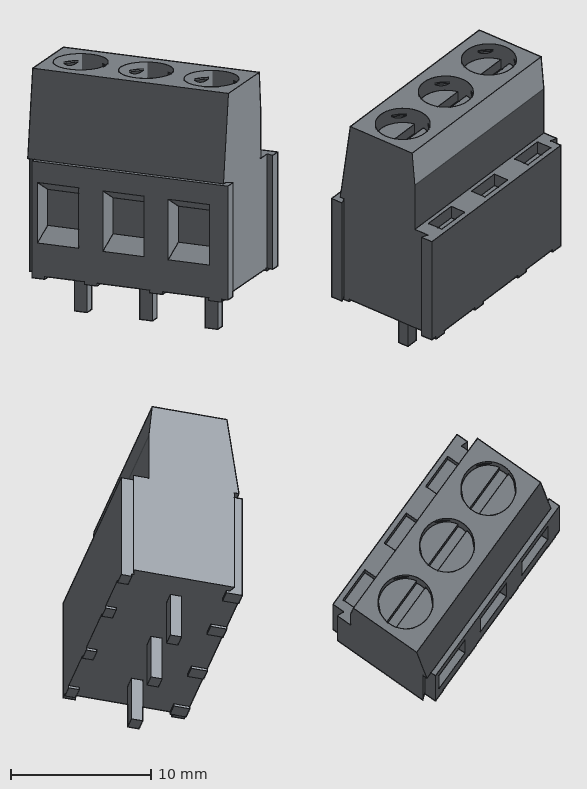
import cadquery as cq
import math


pole_count = 3
pitch = 5.09
body_length = 15.24
body_depth = 9.0
shoulder_height = 8.53
body_height = 15.03
first_pole_x = body_length / 2 - (pole_count - 1) / 2 * pitch
pole_positions = [first_pole_x + i * pitch for i in range(pole_count)]

upper_front_y = 0.4
top_front_y = 1.29
top_back_y = 6.85
upper_back_y = 7.09
back_slope_height = 2.67

hook_length = 0.5
hook_root_depth = 0.75
hook_tip_depth = 0.94

entry_width = 3.2
entry_height = 4.53
entry_bottom_z = 2.45
entry_depth = 1.37
entry_side_taper = 0.2
entry_top_taper = 0.88
entry_bottom_taper = 0.95

bore_radius = 1.96
bore_depth = 1.23
bore_y = 4.08
slot_width = 0.79
slot_depth = 0.8

nub_count = 4
nub_projection = 0.07
nub_top_drop = 0.5
nub_lip_height = 0.11
nub_undercut_height = 0.22

pocket_length = 2.7
pocket_width = 1.2
pocket_back_wall = 0.4
pocket_depth = 1.0

foot_length = 1.0
foot_height = 0.2
front_foot_depth = 1.2
back_foot_depth = 0.79
pin_length_x = 1.0
pin_depth_y = 0.85
pin_drop = 3.67
pin_y = body_depth / 2


def box(x, y, z, length, depth, height):
    """Box with its lowest corner at (x, y, z)."""
    return cq.Workplane("XY").box(length, depth, height, centered=False).translate((x, y, z))


def make_housing():
    """Side profile extruded along the row of poles."""
    profile = [
        (0, 0),
        (body_depth, 0),
        (body_depth, shoulder_height),
        (upper_back_y, shoulder_height),
        (upper_back_y, body_height - back_slope_height),
        (top_back_y, body_height),
        (top_front_y, body_height),
        (upper_front_y, shoulder_height),
        (0, shoulder_height),
    ]
    return cq.Workplane("YZ").polyline(profile).close().extrude(body_length)


def make_hooks(start_x):
    """Front and back dovetail prisms as high as the shoulder, widening towards +X."""
    end_x = start_x + hook_length
    front_outline = [
        (start_x, 0),
        (end_x, 0),
        (end_x, hook_tip_depth),
        (start_x, hook_root_depth),
    ]
    back_outline = [(x, body_depth - y) for x, y in front_outline]
    front = cq.Workplane("XY").polyline(front_outline).close().extrude(shoulder_height)
    back = cq.Workplane("XY").polyline(back_outline).close().extrude(shoulder_height)
    return front.union(back)


def make_wire_entry(x):
    """Funnel narrowing from the front face to a flat back wall."""
    inner_width = entry_width - 2 * entry_side_taper
    inner_height = entry_height - entry_top_taper - entry_bottom_taper
    outer_z = entry_bottom_z + entry_height / 2
    inner_z = entry_bottom_z + entry_bottom_taper + inner_height / 2
    return (
        cq.Workplane("XZ", origin=(x, 0, outer_z))
        .rect(entry_width, entry_height)
        .workplane(offset=-entry_depth)
        .center(0, inner_z - outer_z)
        .rect(inner_width, inner_height)
        .loft(ruled=True)
    )


def make_screw_bore(x):
    """Bore above the screw head, the driver slot, less the retaining nubs."""
    floor_z = body_height - bore_depth
    bore = cq.Workplane("XY", origin=(x, bore_y, floor_z)).circle(bore_radius).extrude(bore_depth)
    slot = (
        cq.Workplane("XY", origin=(x, bore_y, floor_z - slot_depth))
        .circle(bore_radius)
        .extrude(slot_depth)
        .intersect(box(x - bore_radius, bore_y - slot_width / 2, floor_z - slot_depth,
                       2 * bore_radius, slot_width, slot_depth))
    )
    for i in range(nub_count):
        angle = 360 / nub_count * (i + 0.5)
        bore = bore.cut(make_nub().rotate((0, 0, 0), (0, 0, 1), angle).translate((x, bore_y, 0)))
    return bore.union(slot)


def make_nub():
    """Nub with a flat top, a short upright lip and an undercut face, on the +X side of the Z axis.

    The undercut meets the bore wall midway, so the block runs on past the wall.
    """
    top_z = body_height - nub_top_drop
    inner_radius = bore_radius - nub_projection
    outer_radius = bore_radius + nub_projection
    half_chord = math.sqrt(bore_radius**2 - inner_radius**2)
    lip_z = top_z - nub_lip_height
    profile = [
        (inner_radius, top_z),
        (outer_radius, top_z),
        (outer_radius, lip_z - 2 * nub_undercut_height),
        (inner_radius, lip_z),
    ]
    return cq.Workplane("XZ").polyline(profile).close().extrude(half_chord, both=True)


def make_pocket(x):
    """Rectangular pocket sunk into the rear shoulder."""
    back_y = body_depth - pocket_back_wall
    return box(x - pocket_length / 2, back_y - pocket_width, shoulder_height - pocket_depth,
               pocket_length, pocket_width, pocket_depth)


def make_feet():
    """Standoff feet at both ends and midway between poles, along front and back edges."""
    starts = [hook_length]
    for x in pole_positions[:-1]:
        starts.append(x + pitch / 2 - foot_length / 2)
    starts.append(body_length - foot_length)
    feet = cq.Workplane("XY")
    for x in starts:
        feet = feet.union(box(x, 0, -foot_height, foot_length, front_foot_depth, foot_height))
        feet = feet.union(box(x, body_depth - back_foot_depth, -foot_height,
                              foot_length, back_foot_depth, foot_height))
    return feet


def make_pin(x):
    """Solder pin below the housing."""
    return box(x - pin_length_x / 2, pin_y - pin_depth_y / 2, -pin_drop,
               pin_length_x, pin_depth_y, pin_drop)


result = make_housing()
result = result.cut(make_hooks(0))
result = result.union(make_hooks(body_length))
result = result.union(make_feet())
for pole_x in pole_positions:
    result = result.cut(make_wire_entry(pole_x))
    result = result.cut(make_screw_bore(pole_x))
    result = result.cut(make_pocket(pole_x))
    result = result.union(make_pin(pole_x))